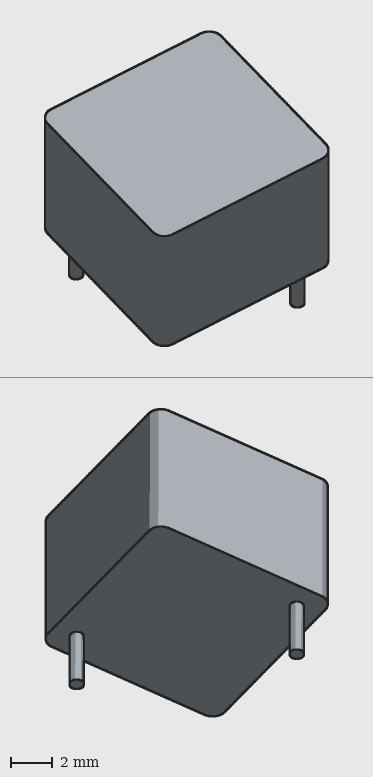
import cadquery as cq

total_height = 10.72
body_side = 10.16
body_height = 7.62
corner_radius = 0.7

pin_diameter = 0.7
pin_spacing = 7.62
pin_length = total_height - body_height


def make_body():
    block = cq.Workplane("XY").box(body_side, body_side, body_height, centered=(True, True, False))
    return block.edges("|Z").fillet(corner_radius)


def make_pins():
    offset = pin_spacing / 2
    return (
        cq.Workplane("XY")
        .pushPoints([(-offset, -offset), (offset, offset)])
        .circle(pin_diameter / 2)
        .extrude(-pin_length)
    )


result = make_body().union(make_pins())